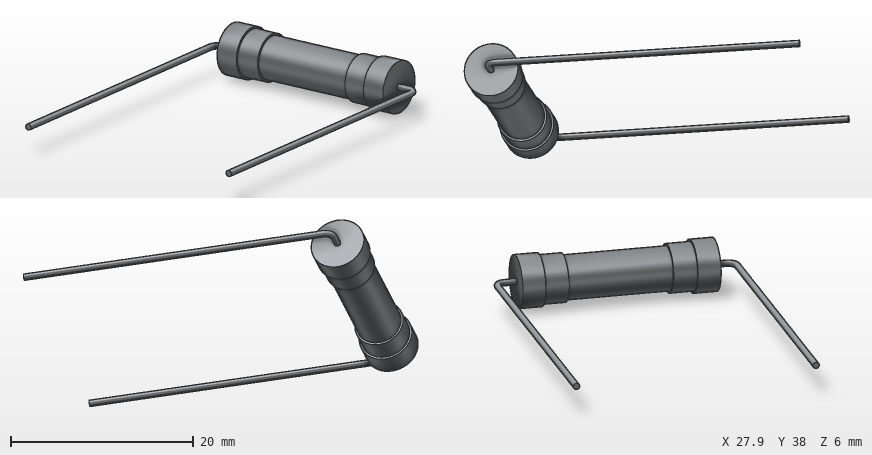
import cadquery as cq

lead_span = 27.9
depth = 38.0
cap_diameter = 6.0
collar_diameter = 5.5
core_diameter = 5.0
lead_diameter = 0.72

body_length = 22.5
cap_width = 2.62
collar_width = 2.7
bend_radius = 1.03

cap_face_x = body_length / 2
cap_step_x = cap_face_x - cap_width
core_end_x = cap_step_x - collar_width
lead_x = (lead_span - lead_diameter) / 2
lead_tip_y = cap_diameter / 2 - depth


def cylinder_along_x(diameter, start_x, end_x):
    return (
        cq.Workplane("YZ", origin=(start_x, 0, 0))
        .circle(diameter / 2)
        .extrude(end_x - start_x)
    )


def make_core():
    return cylinder_along_x(core_diameter, -core_end_x, core_end_x)


def make_cap():
    """Stepped end cap on the +X end of the core."""
    rim = cylinder_along_x(cap_diameter, cap_step_x, cap_face_x)
    collar = cylinder_along_x(collar_diameter, core_end_x, cap_step_x)
    return rim.union(collar)


def make_lead():
    """Round wire from the +X cap face, bent toward -Y."""
    bend_start_x = lead_x - bend_radius
    path = (
        cq.Workplane("XY")
        .moveTo(cap_face_x, 0)
        .lineTo(bend_start_x, 0)
        .tangentArcPoint((lead_x, -bend_radius), relative=False)
        .lineTo(lead_x, lead_tip_y)
    )
    return (
        cq.Workplane("YZ", origin=(cap_face_x, 0, 0))
        .circle(lead_diameter / 2)
        .sweep(path)
    )


core = make_core()
bodies = [core.val()]
for make_end_part in (make_cap, make_lead):
    right_part = make_end_part()
    left_part = right_part.mirror("YZ")
    bodies += [right_part.val(), left_part.val()]

result = cq.Compound.makeCompound(bodies)